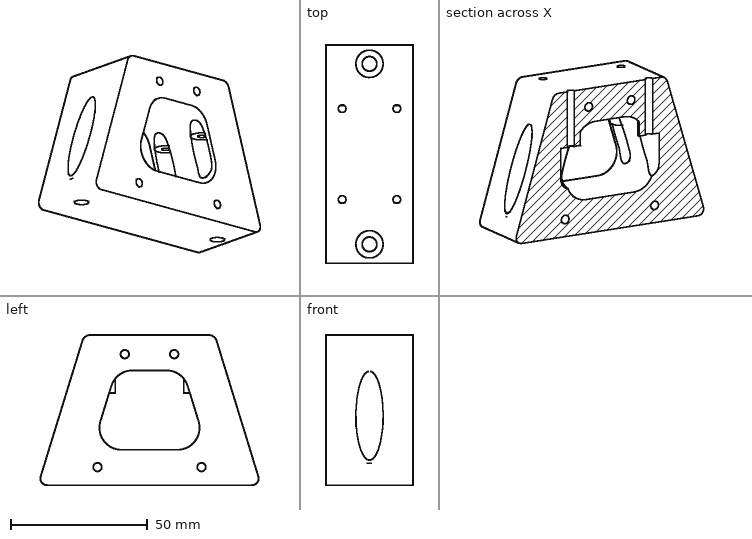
import cadquery as cq
import math

width = 32.0
height = 55.0
length = 80.0
side_angle = math.radians(17.1)
top_edge_radius = 3.0
bottom_edge_radius = 2.5
corner_setback = bottom_edge_radius * math.tan(math.pi / 4 + side_angle / 2)
bottom_half = length / 2 - bottom_edge_radius + corner_setback
top_half = bottom_half - height * math.tan(side_angle)

window_bottom = 13.0
window_top = 42.0
side_wall = 15.0
window_radius = 8.0

face_hole_diameter = 3.0
top_hole_diameter = 2.8
face_hole_rows = [(19.0, 6.6), (9.0, 48.0)]
top_hole_x = 10.0
top_hole_y = 16.6

boss_radius = 4.2
boss_bottom = 33.8
clearance_round_height = 22.1

mount_y = 33.0
mount_diameter = 5.3
counterbore_diameter = 10.0
counterbore_floor = 8.0


def prism(points):
    """Extrude a YZ outline across the full width, centred on X."""
    return cq.Workplane("YZ").polyline(points).close().extrude(width / 2, both=True)


def rod(x, y, radius, bottom, top):
    """Vertical cylinder between two heights."""
    return cq.Workplane("XY", origin=(x, y, bottom)).circle(radius).extrude(top - bottom)


def make_block():
    outline = [
        (-bottom_half, 0),
        (bottom_half, 0),
        (top_half, height),
        (-top_half, height),
    ]
    block = prism(outline).edges("|X and >Z").fillet(top_edge_radius)
    return block.edges("|X and <Z").fillet(bottom_edge_radius)


def window_half(z):
    """Half width of the window at a height, before its corners are rounded."""
    outer_half = top_half + (height - z) * math.tan(side_angle)
    return outer_half - side_wall / math.cos(side_angle)


def make_window():
    low = window_half(window_bottom)
    high = window_half(window_top)
    outline = [
        (-low, window_bottom),
        (low, window_bottom),
        (high, window_top),
        (-high, window_top),
    ]
    return prism(outline).edges("|X").fillet(window_radius)


def make_clearance(x, y):
    ball = cq.Workplane("XY", origin=(x, y, clearance_round_height)).sphere(boss_radius)
    return rod(x, y, boss_radius, clearance_round_height, boss_bottom).union(ball)


result = make_block().cut(make_window())

for x in (-top_hole_x, top_hole_x):
    for y in (-top_hole_y, top_hole_y):
        result = result.union(rod(x, y, boss_radius, boss_bottom, window_top))
        result = result.cut(make_clearance(x, y))
        result = result.cut(rod(x, y, top_hole_diameter / 2, boss_bottom, height))

for half_spacing, z in face_hole_rows:
    centres = [(-half_spacing, z), (half_spacing, z)]
    holes = cq.Workplane("YZ").pushPoints(centres).circle(face_hole_diameter / 2)
    result = result.cut(holes.extrude(width / 2, both=True))

for y in (-mount_y, mount_y):
    result = result.cut(rod(0, y, mount_diameter / 2, 0, height))
    result = result.cut(rod(0, y, counterbore_diameter / 2, counterbore_floor, height))